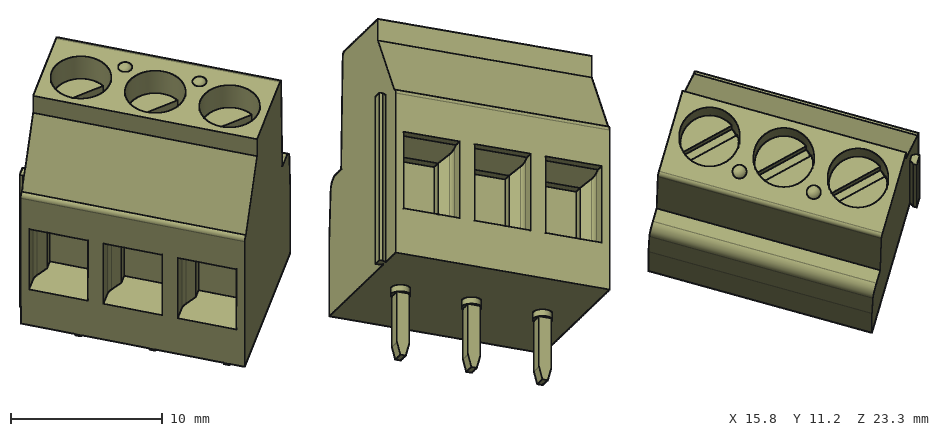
import cadquery as cq
import math


POLE_COUNT = 3
POLE_PITCH = 5.08
POLE_X = [(i - (POLE_COUNT - 1) / 2) * POLE_PITCH for i in range(POLE_COUNT)]

WIDTH = 15.3
DEPTH = 11.2
HEIGHT = 18.08
FRONT_HEIGHT = 11.5
FRONT_LIP_DEPTH = 0.25
FRONT_LIP_HEIGHT = 0.35
TOP_FRONT_Y = 3.0
SLOPE_TOP_HEIGHT = 16.52
TOP_BACK_Y = 8.95
TOP_BACK_RADIUS = 0.3
STEP_Y = 9.23
STEP_HEIGHT = 9.79
SHOULDER_Y = 10.93
SHOULDER_RADIUS = 0.86
BACK_HEIGHT = 5.6

ENTRY_WIDTH = 4.0
ENTRY_FLOOR_Z = 3.29
ENTRY_ROOF_Z = 8.8
ENTRY_ROOF_DROP = 0.77
ENTRY_ROOF_BEND_Y = 0.65
ENTRY_DEPTH = 2.91
ENTRY_BACK_WIDTH = 2.8
FUNNEL_DEPTH = 2.24
FUNNEL_ANGLE = math.radians(30)
FUNNEL_RADIUS = 1.03

SCREW_Y = 5.52
WELL_DIAMETER = 4.0
HEAD_DIAMETER = 3.85
HEAD_RECESS = 1.98
HEAD_THICKNESS = 1.5
SLOT_WIDTH = 0.72
SLOT_DEPTH = 1.0
SLOT_ANGLE = 45
HEAD_TOP_Z = HEIGHT - HEAD_RECESS
WELL_FLOOR_Z = HEAD_TOP_Z - HEAD_THICKNESS

PIN_Y = 5.27
SHANK_DIAMETER = 1.3
SHANK_PROTRUSION = 0.47
PIN_SIZE = 0.89
PIN_LENGTH = 4.96
PIN_TIP_LENGTH = 0.89
PIN_TIP_WIDTH = 0.4

RIB_Y = 1.89
RIB_HEIGHT = 12.07
RIB_DEPTH = 0.51
RIB_WIDTH = 0.7
RIB_NECK_WIDTH = 0.37
RIB_RIM = 0.23

DOME_Y = 7.25
DOME_DIAMETER = 0.93
DOME_HEIGHT = 0.25


def housing_block():
    lip_z = FRONT_HEIGHT + FRONT_LIP_HEIGHT
    block = (
        cq.Workplane("YZ", origin=(-WIDTH / 2, 0, 0))
        .moveTo(0, 0)
        .lineTo(0, FRONT_HEIGHT)
        .tangentArcPoint((FRONT_LIP_DEPTH, lip_z), relative=False)
        .lineTo(TOP_FRONT_Y, SLOPE_TOP_HEIGHT)
        .lineTo(TOP_FRONT_Y, HEIGHT)
        .lineTo(TOP_BACK_Y, HEIGHT)
        .lineTo(STEP_Y, STEP_HEIGHT)
        .lineTo(SHOULDER_Y, STEP_HEIGHT)
        .lineTo(DEPTH, BACK_HEIGHT)
        .lineTo(DEPTH, 0)
        .close()
        .extrude(WIDTH)
    )
    block = block.edges(cq.NearestToPointSelector((0, TOP_BACK_Y, HEIGHT))).fillet(TOP_BACK_RADIUS)
    return block.edges(cq.NearestToPointSelector((0, SHOULDER_Y, STEP_HEIGHT))).fillet(SHOULDER_RADIUS)


def side_rib():
    neck = RIB_NECK_WIDTH / 2
    rim = RIB_WIDTH / 2
    return (
        cq.Workplane("XY", origin=(-WIDTH / 2, RIB_Y, 0))
        .polyline([
            (0, -neck), (RIB_RIM - RIB_DEPTH, -rim), (-RIB_DEPTH, -rim),
            (-RIB_DEPTH, rim), (RIB_RIM - RIB_DEPTH, rim), (0, neck),
        ])
        .close()
        .extrude(RIB_HEIGHT)
    )


def marker_dome(x):
    """Ball sunk into the top face so that only a low cap stands out."""
    ball_radius = ((DOME_DIAMETER / 2) ** 2 + DOME_HEIGHT ** 2) / (2 * DOME_HEIGHT)
    return cq.Workplane("XY", origin=(x, DOME_Y, HEIGHT + DOME_HEIGHT - ball_radius)).sphere(ball_radius)


def wire_entry(x):
    """Funnel-shaped cavity: its plan outline crossed with its side outline."""
    half = ENTRY_WIDTH / 2
    back_half = ENTRY_BACK_WIDTH / 2
    bend_x = half - FUNNEL_RADIUS * (1 - math.cos(FUNNEL_ANGLE))
    bend_y = FUNNEL_DEPTH - (bend_x - back_half) / math.tan(FUNNEL_ANGLE)
    wall_y = bend_y - FUNNEL_RADIUS * math.sin(FUNNEL_ANGLE)
    plan = (
        cq.Workplane("XY", origin=(x, 0, ENTRY_FLOOR_Z))
        .moveTo(-half, 0)
        .lineTo(half, 0)
        .lineTo(half, wall_y)
        .tangentArcPoint((bend_x, bend_y), relative=False)
        .lineTo(back_half, FUNNEL_DEPTH)
        .lineTo(back_half, ENTRY_DEPTH)
        .lineTo(-back_half, ENTRY_DEPTH)
        .lineTo(-back_half, FUNNEL_DEPTH)
        .lineTo(-bend_x, bend_y)
        .radiusArc((-half, wall_y), -FUNNEL_RADIUS)
        .close()
        .extrude(ENTRY_ROOF_Z - ENTRY_FLOOR_Z)
    )
    back_roof_z = ENTRY_ROOF_Z - ENTRY_ROOF_DROP
    side = (
        cq.Workplane("YZ", origin=(x - half, 0, 0))
        .polyline([
            (0, ENTRY_FLOOR_Z), (0, ENTRY_ROOF_Z), (ENTRY_ROOF_BEND_Y, ENTRY_ROOF_Z),
            (FUNNEL_DEPTH, back_roof_z), (ENTRY_DEPTH, back_roof_z), (ENTRY_DEPTH, ENTRY_FLOOR_Z),
        ])
        .close()
        .extrude(ENTRY_WIDTH)
    )
    return plan.intersect(side)


def screw_well(x):
    return (
        cq.Workplane("XY", origin=(x, SCREW_Y, WELL_FLOOR_Z))
        .circle(WELL_DIAMETER / 2)
        .extrude(HEIGHT - WELL_FLOOR_Z)
    )


def round_shank(x, bottom_z):
    """Round part of a terminal, up to the floor of the screw well."""
    return (
        cq.Workplane("XY", origin=(x, PIN_Y, bottom_z))
        .circle(SHANK_DIAMETER / 2)
        .extrude(WELL_FLOOR_Z - bottom_z)
    )


def make_housing():
    body = housing_block().union(side_rib())
    for left_x, right_x in zip(POLE_X, POLE_X[1:]):
        body = body.union(marker_dome((left_x + right_x) / 2))
    for x in POLE_X:
        body = body.cut(wire_entry(x)).cut(screw_well(x)).cut(round_shank(x, 0))
    return body


def screw_head(x):
    head = (
        cq.Workplane("XY", origin=(x, SCREW_Y, WELL_FLOOR_Z))
        .circle(HEAD_DIAMETER / 2)
        .extrude(HEAD_THICKNESS)
    )
    slot = (
        cq.Workplane("XY", origin=(x, SCREW_Y, HEAD_TOP_Z - SLOT_DEPTH))
        .transformed(rotate=(0, 0, SLOT_ANGLE))
        .rect(WELL_DIAMETER, SLOT_WIDTH)
        .extrude(SLOT_DEPTH)
    )
    return head.cut(slot)


def solder_pin(x):
    """Square pin whose tip narrows in X only."""
    half = PIN_SIZE / 2
    tip_half = PIN_TIP_WIDTH / 2
    shoulder_z = PIN_TIP_LENGTH - PIN_LENGTH
    return (
        cq.Workplane("XZ", origin=(x, PIN_Y, 0))
        .polyline([
            (-half, -SHANK_PROTRUSION), (-half, shoulder_z), (-tip_half, -PIN_LENGTH),
            (tip_half, -PIN_LENGTH), (half, shoulder_z), (half, -SHANK_PROTRUSION),
        ])
        .close()
        .extrude(half, both=True)
    )


def make_terminal(x):
    """Slotted screw head, round shank and solder pin as one metal body."""
    return screw_head(x).union(round_shank(x, -SHANK_PROTRUSION)).union(solder_pin(x))


housing = make_housing()
terminals = [make_terminal(x) for x in POLE_X]

result = cq.Compound.makeCompound([housing.val(), *[terminal.val() for terminal in terminals]])